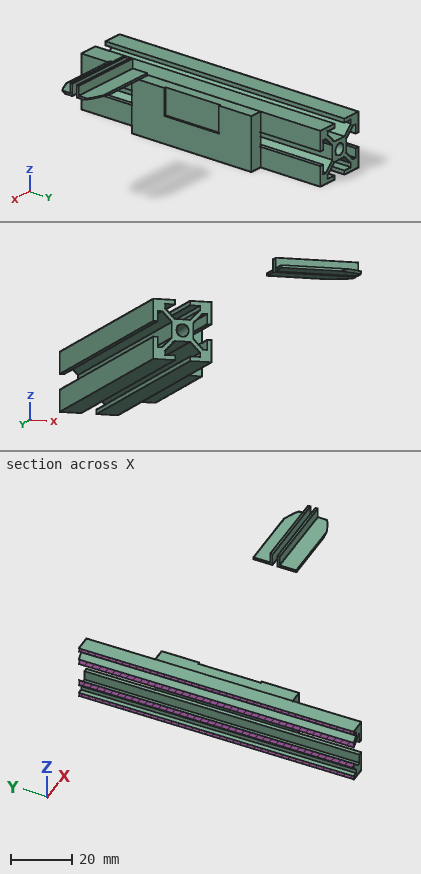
import cadquery as cq
import math

RAIL_WIDTH = 20.0
RAIL_LENGTH = 100.0
SLOT_OPENING = 5.2
SLOT_INNER_WIDTH = 12.0
LIP_THICKNESS = 1.5
WEB_THICKNESS = 1.5
CORE_FLAT = 5.2
BORE_DIAMETER = 4.2

BLOCK_THICKNESS = 4.8
BLOCK_LENGTH = 50.0
NOTCH_LENGTH = 22.8
NOTCH_DEPTH = 0.7
NOTCH_HEIGHT = RAIL_WIDTH / 2

STRIP_LENGTH = 28.3
STRIP_END_X = 75.8
STRIP_TOP_Z = 35.4
STRIP_HEIGHT = 4.4
STRIP_WIDTH = 6.9
STRIP_THICKNESS = 0.85
STRIP_GAP = 1.8
STRIP_CENTRE_Y = -0.15
TIP_CUT_LENGTH = 5.6
TIP_CUT_ANGLE = 22.0
TIP_ARC_LENGTH = 2.8
TIP_RADIUS = 12.0
TIP_TAPER = 45.0
TIP_ARC_SWEEP = 30.0

HALF_RAIL = RAIL_WIDTH / 2


def make_slot_cutter():
    """T-slot open at the +Z face of the rail, with 45 degree flanks down to the core."""
    half_opening = SLOT_OPENING / 2
    half_inner = SLOT_INNER_WIDTH / 2
    half_floor = CORE_FLAT / 2
    floor_z = half_floor + WEB_THICKNESS / math.sqrt(2)
    lip_z = HALF_RAIL - LIP_THICKNESS
    flank_z = floor_z + half_inner - half_floor
    right_side = [
        (half_floor, floor_z),
        (half_inner, flank_z),
        (half_inner, lip_z),
        (half_opening, lip_z),
        (half_opening, HALF_RAIL),
    ]
    left_side = [(-x, z) for x, z in reversed(right_side)]
    return (
        cq.Workplane("XZ")
        .polyline(right_side + left_side)
        .close()
        .extrude(RAIL_LENGTH / 2, both=True)
    )


def make_rail():
    rail = cq.Workplane("XY").box(RAIL_WIDTH, RAIL_LENGTH, RAIL_WIDTH)
    slot = make_slot_cutter()
    for angle in (0, 90, 180, 270):
        rail = rail.cut(slot.rotate((0, 0, 0), (0, 1, 0), angle))
    bore = cq.Workplane("XZ").circle(BORE_DIAMETER / 2).extrude(RAIL_LENGTH / 2, both=True)
    return rail.cut(bore)


def make_block():
    """Plain block with a shallow notch in its outer face, open at the top."""
    outer_x = HALF_RAIL + BLOCK_THICKNESS
    block = cq.Workplane("XY").box(BLOCK_THICKNESS, BLOCK_LENGTH, RAIL_WIDTH)
    block = block.translate((HALF_RAIL + BLOCK_THICKNESS / 2, 0, 0))
    notch = cq.Workplane("XY").box(NOTCH_DEPTH, NOTCH_LENGTH, NOTCH_HEIGHT)
    notch = notch.translate((outer_x - NOTCH_DEPTH / 2, 0, HALF_RAIL - NOTCH_HEIGHT / 2))
    return block.cut(notch)


def make_nose(corner_x, outer_y, top_z):
    """Oversized blank whose slanted, curved tip side leans inward at 45 degrees toward the bottom.

    The tip side is a straight cut that turns into a tangent arc. Both run past the strip,
    so only the tip is shaped when the blank is intersected with a plain bar.
    """
    cut_angle = math.radians(TIP_CUT_ANGLE)
    cut_x = corner_x - TIP_CUT_LENGTH
    arc_x = corner_x - TIP_ARC_LENGTH
    arc_y = outer_y - (arc_x - cut_x) * math.tan(cut_angle)
    centre_x = arc_x - TIP_RADIUS * math.sin(cut_angle)
    centre_y = arc_y - TIP_RADIUS * math.cos(cut_angle)

    def arc_point(angle):
        return (centre_x + TIP_RADIUS * math.sin(angle), centre_y + TIP_RADIUS * math.cos(angle))

    far_angle = cut_angle + math.radians(TIP_ARC_SWEEP)
    far_point = arc_point(far_angle)
    back_x = cut_x - STRIP_LENGTH
    back_y = outer_y + STRIP_LENGTH * math.tan(cut_angle)
    low_y = outer_y - 2 * STRIP_WIDTH
    return (
        cq.Workplane("XY", origin=(0, 0, top_z))
        .moveTo(back_x, back_y)
        .lineTo(arc_x, arc_y)
        .threePointArc(arc_point((cut_angle + far_angle) / 2), far_point)
        .lineTo(far_point[0], low_y)
        .lineTo(back_x, low_y)
        .close()
        .extrude(-STRIP_THICKNESS, taper=TIP_TAPER)
    )


def make_strip():
    """L-section strip on the +Y side of the gap."""
    start_x = STRIP_END_X - STRIP_LENGTH
    bottom_z = STRIP_TOP_Z - STRIP_HEIGHT
    inner_y = STRIP_CENTRE_Y + STRIP_GAP / 2
    base_corner = cq.Workplane("XY", origin=(start_x, inner_y, bottom_z))

    nose = make_nose(STRIP_END_X, inner_y + STRIP_WIDTH, bottom_z + STRIP_THICKNESS)
    flange = base_corner.box(STRIP_LENGTH, STRIP_WIDTH, STRIP_THICKNESS, centered=False).intersect(nose)
    wall = base_corner.box(STRIP_LENGTH, STRIP_THICKNESS, STRIP_HEIGHT, centered=False)
    return flange.union(wall)


rail = make_rail()
block = make_block()
strip = make_strip()
strips = [strip, strip.mirror("XZ", (0, STRIP_CENTRE_Y, 0))]

result = cq.Compound.makeCompound([rail.val(), block.val(), *[strip.val() for strip in strips]])